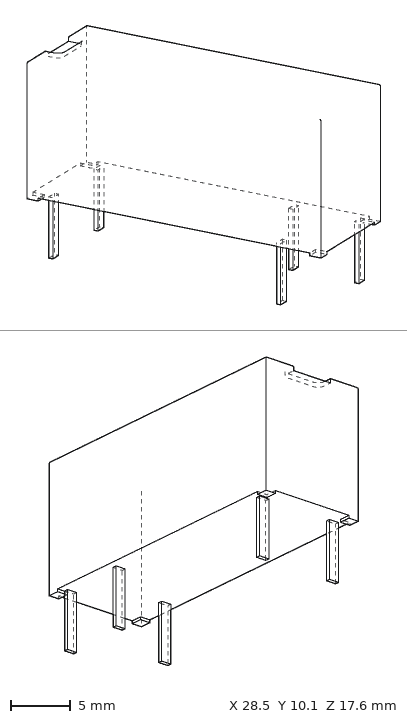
import cadquery as cq

length = 28.5
width = 10.1
height = 17.6

foot_bottom = 5.25
foot_height = 0.25
foot_length = 1.1
foot_width = 1.03
relief_z = foot_bottom + foot_height

pocket_length = 1.5
pocket_width = 4.0
pocket_depth = 0.5
pocket_corner_radius = 0.55

top_radius = 0.25

pin_thickness = 0.4
pin_width = 1.0
pin_row_offset = 3.82
pin_pitch = 3.2
first_pin_x = -length / 2 + 1.9
common_pin_x = length / 2 - 4.53
pin_centers = [
    (first_pin_x, -pin_row_offset),
    (first_pin_x, pin_row_offset),
    (common_pin_x, -pin_row_offset),
    (common_pin_x - pin_pitch, pin_row_offset),
    (common_pin_x + pin_pitch, pin_row_offset),
]


def make_pocket():
    return (
        cq.Workplane("XY", origin=(-length / 2, 0, height - pocket_depth))
        .rect(2 * pocket_length, pocket_width)
        .extrude(pocket_depth)
        .edges("|Z")
        .fillet(pocket_corner_radius)
    )


def make_underside_relief():
    base = cq.Workplane("XY", origin=(0, 0, foot_bottom))
    along_x = base.rect(length, width - 2 * foot_width).extrude(foot_height)
    along_y = base.rect(length - 2 * foot_length, width).extrude(foot_height)
    return along_x.union(along_y)


def make_housing():
    block = (
        cq.Workplane("XY", origin=(0, 0, foot_bottom))
        .rect(length, width)
        .extrude(height - foot_bottom)
    )
    rounded = block.cut(make_pocket()).faces(">Z").edges().fillet(top_radius)
    return rounded.cut(make_underside_relief())


def make_pins():
    return (
        cq.Workplane("XY")
        .pushPoints(pin_centers)
        .rect(pin_thickness, pin_width)
        .extrude(relief_z)
    )


result = make_housing().union(make_pins())